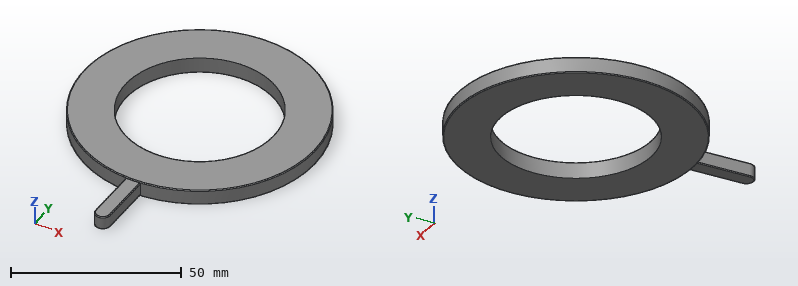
import cadquery as cq

ring_diameter = 78.0
hole_diameter = 50.0
ring_thickness = 5.2
ring_edge_break = 0.3

overall_length = 98.0
handle_width = 5.0
handle_thickness = 4.5
handle_edge_break = 0.3

ring_radius = ring_diameter / 2
hole_radius = hole_diameter / 2
handle_tip_y = ring_radius - overall_length
handle_tip_radius = handle_width / 2


def centred_plane(thickness):
    """Workplane from which an extrusion of this thickness is centred on XY."""
    return cq.Workplane("XY").workplane(offset=-thickness / 2)


def make_disc():
    """Solid disc with both rim edges chamfered."""
    disc = centred_plane(ring_thickness).circle(ring_radius).extrude(ring_thickness)
    return disc.faces("|Z").edges().chamfer(ring_edge_break)


def make_handle():
    """Straight bar with a round tip, rooted in the middle of the ring band."""
    half_width = handle_width / 2
    root_y = -(ring_radius + hole_radius) / 2
    tip_centre_y = handle_tip_y + handle_tip_radius
    bar = (
        centred_plane(handle_thickness)
        .moveTo(-half_width, root_y)
        .lineTo(-half_width, tip_centre_y)
        .threePointArc((0, handle_tip_y), (half_width, tip_centre_y))
        .lineTo(half_width, root_y)
        .close()
        .extrude(handle_thickness)
    )
    return bar.faces("|Z").edges().chamfer(handle_edge_break)


hole = centred_plane(ring_thickness).circle(hole_radius).extrude(ring_thickness)

result = make_disc().union(make_handle()).cut(hole)